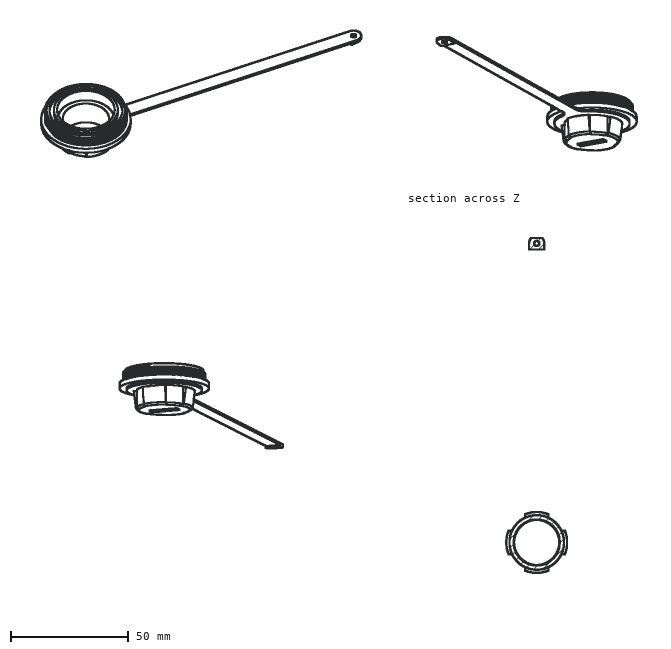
import cadquery as cq
import math


total_height = 17.2
mark_height = 0.3
knob_edge_chamfer = 0.9
flange_top_z = 11.8
flange_bottom_z = 9.5
rib_top_z = 8.4

flange_radius = 19.02
neck_radius = 11.6
mark_length = 12.5
mark_width = 3.0

rib_count = 4
rib_width = 10.1
rib_top_radius = 13.0
rib_bottom_radius = 12.1

mouth_radius = 12.2
ledge_outer_radius = 12.0
ledge_inner_radius = 9.8
floor_radius = 9.5
mouth_depth = 5.0
floor_thickness = 1.5

thread_root_radius = 16.7
thread_crest_radius = 17.5
thread_flat_distance = 16.9
thread_pitch = 1.0
thread_turns = 5
thread_root_width = 0.9
thread_crest_width = 0.1
thread_overlap = 0.1
thread_end_z = 16.3

groove_inner_radius = 13.5
groove_outer_radius = 15.5
groove_depth = 2.7

total_length = 149.2
strap_length = total_length - flange_radius
strap_width = 6.5
strap_thickness = 0.82
strap_ring_radius = 16.03
strap_blend_radius = 4.9
strap_hole_radius = 1.0
tab_length = 6.0
tab_drop = 0.9

knob_bottom_z = mark_height
knob_wall_bottom_z = knob_bottom_z + knob_edge_chamfer
knob_bottom_radius = neck_radius - knob_edge_chamfer
strap_bottom_z = flange_bottom_z - strap_thickness


def revolved(points):
    """Solid of revolution about Z from (radius, height) points."""
    return cq.Workplane("XZ").polyline(points).close().revolve(360, (0, 0), (0, 1))


def tube(inner_radius, outer_radius, bottom_z, height):
    """Hollow cylinder about Z."""
    plane = cq.Workplane("XY", origin=(0, 0, bottom_z))
    return plane.circle(outer_radius).circle(inner_radius).extrude(height)


def cap_blank():
    """Knob, neck, flange and plain threaded collar, without ribs or bore."""
    return revolved([
        (0, knob_bottom_z),
        (knob_bottom_radius, knob_bottom_z),
        (neck_radius, knob_wall_bottom_z),
        (neck_radius, flange_bottom_z),
        (flange_radius, flange_bottom_z),
        (flange_radius, flange_top_z),
        (thread_root_radius, flange_top_z),
        (thread_root_radius, total_height),
        (0, total_height),
    ])


def grip_ribs():
    """Ribs on the X and Y axes that taper down into the knob wall."""
    ribs = revolved([
        (0, knob_bottom_z),
        (rib_bottom_radius - knob_edge_chamfer, knob_bottom_z),
        (rib_bottom_radius, knob_wall_bottom_z),
        (rib_top_radius, rib_top_z),
        (0, rib_top_z),
    ])
    bars = cq.Workplane("XY")
    for index in range(rib_count // 2):
        bar = cq.Workplane("XY").box(2 * flange_radius, rib_width, 2 * total_height)
        bars = bars.add(bar.rotate((0, 0, 0), (0, 0, 1), index * 360 / rib_count))
    return ribs.intersect(bars.combine())


def thread():
    """Helical ridge, cut flat on the -Y and +Y sides."""
    start_z = thread_end_z - thread_turns * thread_pitch
    base_radius = thread_root_radius - thread_overlap
    path = cq.Wire.makeHelix(thread_pitch, thread_turns * thread_pitch, base_radius)
    ridge = (
        cq.Workplane("XZ")
        .polyline([
            (base_radius, -thread_root_width / 2),
            (thread_crest_radius, -thread_crest_width / 2),
            (thread_crest_radius, thread_crest_width / 2),
            (base_radius, thread_root_width / 2),
        ])
        .close()
        .sweep(cq.Workplane(path), isFrenet=True)
        .rotate((0, 0, 0), (0, 0, 1), -90)
        .translate((0, 0, start_z))
    )
    slab = cq.Workplane("XY").box(3 * flange_radius, 2 * thread_flat_distance, 3 * total_height)
    return ridge.intersect(slab)


def stepped_bore():
    """Tapered mouth, ledge and tapered lower bore."""
    ledge_z = total_height - mouth_depth
    floor_z = knob_bottom_z + floor_thickness
    return revolved([
        (0, floor_z),
        (floor_radius, floor_z),
        (ledge_inner_radius, ledge_z),
        (ledge_outer_radius, ledge_z),
        (mouth_radius, total_height),
        (0, total_height),
    ])


def make_cap():
    """Cap with knob, ribs, mark, thread, bore and groove as one body."""
    groove = tube(groove_inner_radius, groove_outer_radius, total_height - groove_depth, groove_depth)
    mark = cq.Workplane("XY").rect(mark_length, mark_width).extrude(mark_height)
    cap = cap_blank().union(grip_ribs()).union(mark).union(thread())
    return cap.cut(stepped_bore()).cut(groove)


def make_sealing_ring():
    """Round-section ring that rests on the floor of the groove."""
    section_radius = (groove_outer_radius - groove_inner_radius) / 2
    middle_radius = (groove_outer_radius + groove_inner_radius) / 2
    middle_z = total_height - groove_depth + section_radius
    section = cq.Workplane("XZ").center(middle_radius, middle_z).circle(section_radius)
    return section.revolve(360, (-middle_radius, 0), (-middle_radius, 1))


def strap_band(bottom_z):
    """Band from bottom_z to the flange, with a round tip, blended into the ring by two concave arcs."""
    half_width = strap_width / 2
    blend_center_x = half_width + strap_blend_radius
    blend_center_y = math.sqrt((strap_ring_radius + strap_blend_radius) ** 2 - blend_center_x**2)
    touch_ratio = strap_ring_radius / (strap_ring_radius + strap_blend_radius)
    touch_x = blend_center_x * touch_ratio
    touch_y = blend_center_y * touch_ratio
    tip_center_y = strap_length - half_width
    return (
        cq.Workplane("XY", origin=(0, 0, bottom_z))
        .moveTo(-touch_x, touch_y)
        .radiusArc((-half_width, blend_center_y), -strap_blend_radius)
        .lineTo(-half_width, tip_center_y)
        .threePointArc((0, strap_length), (half_width, tip_center_y))
        .lineTo(half_width, blend_center_y)
        .radiusArc((touch_x, touch_y), -strap_blend_radius)
        .lineTo(0, 0)
        .close()
        .extrude(flange_bottom_z - bottom_z)
    )


def strap_tab():
    """Wedge under the strap tip, deepest at its inner end, with the outline of the tip."""
    inner_y = strap_length - tab_length
    wedge = (
        cq.Workplane("YZ")
        .polyline([
            (strap_length, strap_bottom_z),
            (inner_y, strap_bottom_z - tab_drop),
            (inner_y, flange_bottom_z),
            (strap_length, flange_bottom_z),
        ])
        .close()
        .extrude(strap_width, both=True)
    )
    return strap_band(strap_bottom_z - tab_drop).intersect(wedge)


def make_strap():
    """Ring around the cap neck, with the band, its tab and the tip hole."""
    ring_plane = cq.Workplane("XY", origin=(0, 0, strap_bottom_z))
    ring = ring_plane.circle(strap_ring_radius).extrude(strap_thickness)
    neck_hole = cq.Workplane("XY").circle(neck_radius).extrude(total_height)
    tip_hole = (
        cq.Workplane("XY")
        .center(0, strap_length - strap_width / 2)
        .circle(strap_hole_radius)
        .extrude(total_height)
    )
    blank = ring.union(strap_band(strap_bottom_z)).union(strap_tab())
    return blank.cut(neck_hole).cut(tip_hole)


cap = make_cap()
sealing_ring = make_sealing_ring()
strap = make_strap()

result = cq.Compound.makeCompound([cap.val(), sealing_ring.val(), strap.val()])